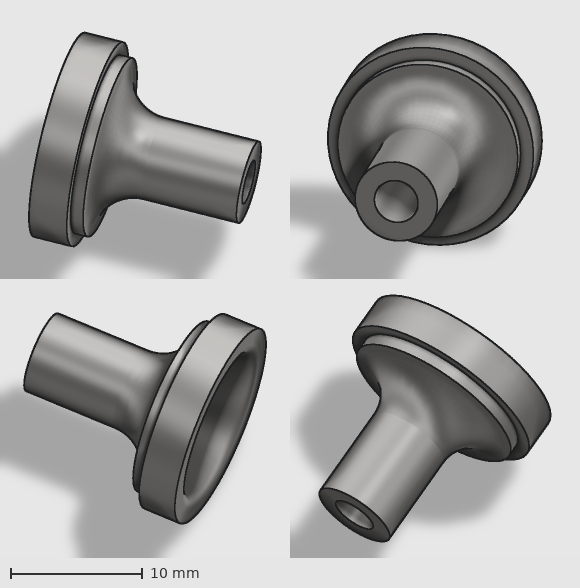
import cadquery as cq
import math

total_length = 15.0
flange_thickness = 3.0
collar_end = 4.0

flange_radius = 16 / 2
collar_radius = 14.0 / 2
stem_radius = 6.4 / 2
stem_blend_radius = 3.5

bore_radius = 3.4 / 2
mouth_radius = 6.64
mouth_round_radius = 1.0
throat_round_radius = 6.0
cone_half_angle = math.radians(36.3)


def arc_point(center, radius, angle):
    """Point on a circle in the (axial, radial) plane."""
    x, r = center
    return (x + radius * math.cos(angle), r + radius * math.sin(angle))


def make_body():
    """Revolve the flange, collar and stem about the X axis."""
    blend_center = (collar_end + stem_blend_radius, stem_radius + stem_blend_radius)
    blend_middle = arc_point(blend_center, stem_blend_radius, math.radians(225))
    return (
        cq.Workplane("XY")
        .lineTo(0, flange_radius)
        .lineTo(flange_thickness, flange_radius)
        .lineTo(flange_thickness, collar_radius)
        .lineTo(collar_end, collar_radius)
        .lineTo(collar_end, blend_center[1])
        .threePointArc(blend_middle, (blend_center[0], stem_radius))
        .lineTo(total_length, stem_radius)
        .lineTo(total_length, 0)
        .close()
        .revolve(360, (0, 0, 0), (1, 0, 0))
    )


def make_funnel():
    """Revolve the bore, with both rounds tangent to the cone."""
    face_normal = math.pi
    cone_normal = 1.5 * math.pi - cone_half_angle
    bore_normal = 1.5 * math.pi

    mouth_center = (mouth_round_radius, mouth_radius)
    mouth_middle = arc_point(mouth_center, mouth_round_radius, (face_normal + cone_normal) / 2)
    cone_start = arc_point(mouth_center, mouth_round_radius, cone_normal)

    throat_center_radius = bore_radius + throat_round_radius
    cone_end_radius = throat_center_radius - throat_round_radius * math.cos(cone_half_angle)
    cone_length = (cone_start[1] - cone_end_radius) / math.tan(cone_half_angle)
    cone_end = (cone_start[0] + cone_length, cone_end_radius)
    throat_center = (
        cone_end[0] + throat_round_radius * math.sin(cone_half_angle),
        throat_center_radius,
    )
    throat_middle = arc_point(throat_center, throat_round_radius, (cone_normal + bore_normal) / 2)

    return (
        cq.Workplane("XY")
        .lineTo(0, mouth_radius)
        .threePointArc(mouth_middle, cone_start)
        .lineTo(*cone_end)
        .threePointArc(throat_middle, (throat_center[0], bore_radius))
        .lineTo(total_length, bore_radius)
        .lineTo(total_length, 0)
        .close()
        .revolve(360, (0, 0, 0), (1, 0, 0))
    )


result = make_body().cut(make_funnel())